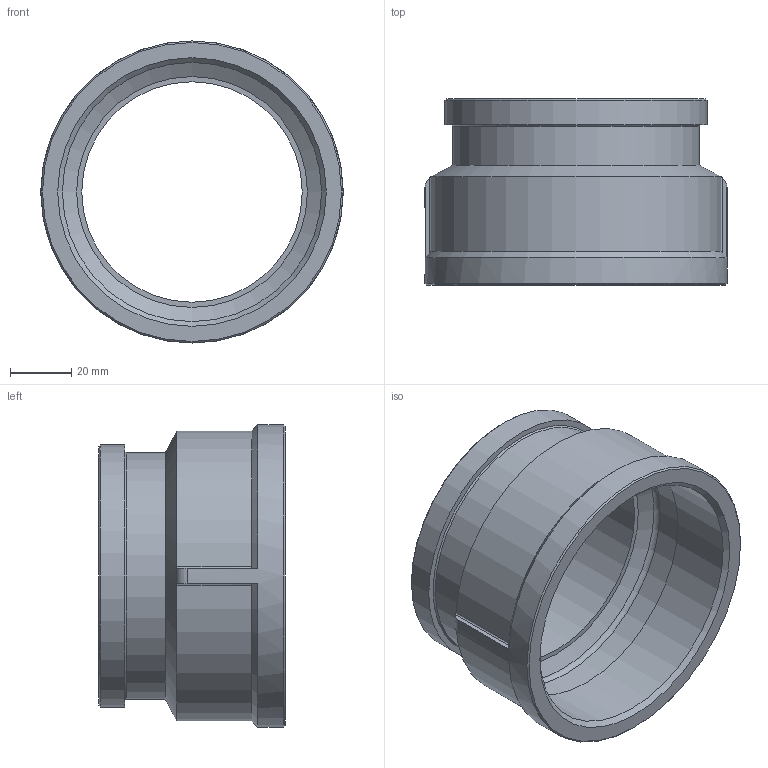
import cadquery as cq
import math

length = 61.0
edge_chamfer = 0.5

large_collar_radius = 99.0 / 2
large_collar_end = 9.0
body_radius = 95.0 / 2
body_start = large_collar_end + (large_collar_radius - body_radius)
body_end = 35.5
neck_radius = 81.0 / 2
neck_start = 39.2
small_collar_radius = 86.0 / 2
small_collar_start = 52.5
neck_root_chamfer = 0.5

large_bore_radius = 84.93 / 2
mouth_radius = 88.0 / 2
mouth_chamfer = mouth_radius - large_bore_radius
undercut_radius = 87.0 / 2
undercut_start = 22.5
undercut_end = 33.0
undercut_fillet = 2.0
small_bore_radius = 72.23 / 2
shoulder_radius = 75.6 / 2
shoulder_y = 36.2

rib_width = 5.0
rib_end_radius = 4.0
rib_root_fillet = 0.5
rib_inner_radius = (body_radius + undercut_radius) / 2
cut_margin = 1.0


def turned(outline):
    """Solid of revolution about Y from an outline whose X is the radius."""
    return outline.close().revolve(360, (0, 0, 0), (0, 1, 0))


def make_outside():
    """Both collars, the body, the outer cone and the neck, as a solid without bores."""
    points = [
        (0, 0),
        (large_collar_radius - edge_chamfer, 0),
        (large_collar_radius, edge_chamfer),
        (large_collar_radius, large_collar_end),
        (body_radius, body_start),
        (body_radius, body_end),
        (neck_radius, neck_start),
        (neck_radius, small_collar_start - neck_root_chamfer),
        (neck_radius + neck_root_chamfer, small_collar_start),
        (small_collar_radius, small_collar_start),
        (small_collar_radius, length - edge_chamfer),
        (small_collar_radius - edge_chamfer, length),
        (0, length),
    ]
    return turned(cq.Workplane("XY").polyline(points))


def make_ribs():
    """One rib on each X side, flush with the large collar and rounded down to the body end."""
    crown_drop = large_collar_radius - body_radius
    crown_start = body_end - math.sqrt(rib_end_radius**2 - (rib_end_radius - crown_drop) ** 2)
    crown_angle = math.acos(1 - crown_drop / rib_end_radius) / 2
    crown_middle = (
        large_collar_radius - rib_end_radius * (1 - math.cos(crown_angle)),
        crown_start + rib_end_radius * math.sin(crown_angle),
    )
    ring_outline = (
        cq.Workplane("XY")
        .moveTo(rib_inner_radius, large_collar_end)
        .lineTo(large_collar_radius, large_collar_end)
        .lineTo(large_collar_radius, crown_start)
        .threePointArc(crown_middle, (body_radius, body_end))
        .lineTo(rib_inner_radius, body_end)
    )
    ring = turned(ring_outline)
    return ring.intersect(make_rib_bars())


def make_rib_bars():
    """Bars along Y with the rib's cross-section, their flanks blended into the body by root fillets."""
    half_width = rib_width / 2
    fillet_center_z = half_width + rib_root_fillet
    fillet_center_x = math.sqrt((body_radius + rib_root_fillet) ** 2 - fillet_center_z**2)
    foot_scale = body_radius / (body_radius + rib_root_fillet)
    foot = (fillet_center_x * foot_scale, fillet_center_z * foot_scale)
    to_axis = math.atan2(-fillet_center_z, -fillet_center_x) + 2 * math.pi
    to_flank = 3 * math.pi / 2
    middle_angle = (to_axis + to_flank) / 2
    middle = (
        fillet_center_x + rib_root_fillet * math.cos(middle_angle),
        fillet_center_z + rib_root_fillet * math.sin(middle_angle),
    )
    half_bar = (
        cq.Workplane("XZ", origin=(0, large_collar_end, 0))
        .moveTo(rib_inner_radius, 0)
        .lineTo(large_collar_radius + cut_margin, 0)
        .lineTo(large_collar_radius + cut_margin, half_width)
        .lineTo(fillet_center_x, half_width)
        .threePointArc(middle, foot)
        .lineTo(rib_inner_radius, foot[1])
        .close()
        .extrude(large_collar_end - body_end)
    )
    bar = half_bar.union(half_bar.mirror("XY"))
    return bar.union(bar.mirror("YZ"))


def make_cavity():
    """Bores, undercut and the filleted cone that leads to the flat shoulder."""
    cone_angle = math.atan2(undercut_radius - shoulder_radius, shoulder_y - undercut_end)
    tangent_length = undercut_fillet * math.tan(cone_angle / 2)
    fillet_center = (undercut_radius - undercut_fillet, undercut_end - tangent_length)
    fillet_middle = (
        fillet_center[0] + undercut_fillet * math.cos(cone_angle / 2),
        fillet_center[1] + undercut_fillet * math.sin(cone_angle / 2),
    )
    fillet_finish = (
        fillet_center[0] + undercut_fillet * math.cos(cone_angle),
        fillet_center[1] + undercut_fillet * math.sin(cone_angle),
    )
    outline = (
        cq.Workplane("XY")
        .moveTo(0, 0)
        .lineTo(mouth_radius, 0)
        .lineTo(large_bore_radius, mouth_chamfer)
        .lineTo(large_bore_radius, undercut_start)
        .lineTo(undercut_radius, undercut_start)
        .lineTo(undercut_radius, fillet_center[1])
        .threePointArc(fillet_middle, fillet_finish)
        .lineTo(shoulder_radius, shoulder_y)
        .lineTo(small_bore_radius, shoulder_y)
        .lineTo(small_bore_radius, length)
        .lineTo(0, length)
    )
    return turned(outline)


ribbed_outside = make_outside().union(make_ribs())
result = ribbed_outside.cut(make_cavity())